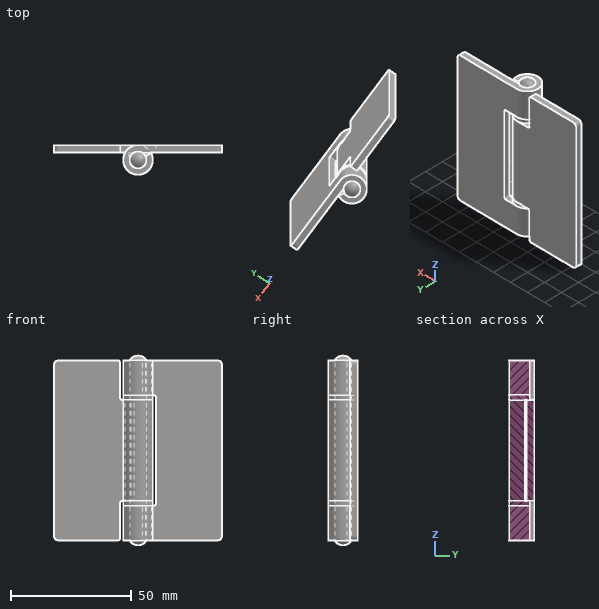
import cadquery as cq
import math

barrel_radius = 6.2
pin_radius = 3.5
dome_height = 2.0

hinge_width = 70.0
leaf_height = 75.0
leaf_thickness = 3.2
corner_radius = 2.0
notch_radius = 1.0
notch_clearance = 1.25
curl_gap_angle = 2.0

middle_knuckle_length = 42.0
washer_thickness = 2.0

half_width = hinge_width / 2
half_height = leaf_height / 2
leaf_outer_y = barrel_radius
leaf_inner_y = leaf_outer_y - leaf_thickness
notch_edge_x = barrel_radius + notch_clearance
middle_top_z = middle_knuckle_length / 2
washer_top_z = middle_top_z + washer_thickness


def on_circle(radius, degrees):
    """Point at a given angle on a circle around the pin axis."""
    angle = math.radians(degrees)
    return (radius * math.cos(angle), radius * math.sin(angle))


def rolled_strip():
    """Leaf blank: a flat plate on the +X side whose edge is rolled around the pin."""
    touching_angle = math.degrees(math.asin(leaf_inner_y / barrel_radius))
    free_end_angle = touching_angle - curl_gap_angle
    bore_meets_plate = (math.sqrt(pin_radius**2 - leaf_inner_y**2), leaf_inner_y)
    return (
        cq.Workplane("XY")
        .workplane(offset=-half_height)
        .moveTo(half_width, leaf_outer_y)
        .lineTo(0, leaf_outer_y)
        .threePointArc((0, -barrel_radius), on_circle(barrel_radius, free_end_angle))
        .lineTo(*on_circle(pin_radius, free_end_angle))
        .threePointArc((-pin_radius, 0), bore_meets_plate)
        .lineTo(half_width, leaf_inner_y)
        .close()
        .extrude(leaf_height)
        .edges("|Y and >X")
        .fillet(corner_radius)
    )


def barrel_window(z_bottom, z_top):
    """Cutter that clears the leaf around the barrel between two heights."""
    overshoot = 1.0
    left_x = -barrel_radius - overshoot
    front_y = -barrel_radius - overshoot
    back_y = leaf_outer_y + overshoot
    return cq.Workplane("XY").box(
        notch_edge_x - left_x, back_y - front_y, z_top - z_bottom, centered=False
    ).translate((left_x, front_y, z_bottom))


def make_two_knuckle_leaf():
    """Leaf on the +X side, with a knuckle at each end of the barrel."""
    window = barrel_window(-washer_top_z, washer_top_z).edges("|Y and >X").fillet(notch_radius)
    return rolled_strip().cut(window)


def make_one_knuckle_leaf():
    """Leaf on the -X side, with a single knuckle in the middle of the barrel."""
    leaf = rolled_strip()
    leaf = leaf.cut(barrel_window(middle_top_z, half_height))
    leaf = leaf.cut(barrel_window(-half_height, -middle_top_z))
    probe = notch_radius / 2
    notch_corners = cq.selectors.BoxSelector(
        (notch_edge_x - probe, leaf_inner_y - probe, -half_height - probe),
        (notch_edge_x + probe, leaf_outer_y + probe, half_height + probe),
    )
    leaf = leaf.edges("|Y").edges(notch_corners).fillet(notch_radius)
    return leaf.mirror("YZ")


def make_pin():
    """Pin filling the barrel bore, with a domed head beyond each end."""
    tip_z = half_height + dome_height
    dome_radius = (pin_radius**2 + dome_height**2) / (2 * dome_height)
    half_sweep = math.asin(pin_radius / dome_radius) / 2
    dome_mid_x = dome_radius * math.sin(half_sweep)
    dome_mid_z = tip_z - dome_radius * (1 - math.cos(half_sweep))
    return (
        cq.Workplane("XZ")
        .moveTo(0, -tip_z)
        .threePointArc((dome_mid_x, -dome_mid_z), (pin_radius, -half_height))
        .lineTo(pin_radius, half_height)
        .threePointArc((dome_mid_x, dome_mid_z), (0, tip_z))
        .close()
        .revolve(360, (0, 0), (0, 1))
    )


def make_washer(z_bottom):
    """Ring between the middle knuckle and an end knuckle."""
    return (
        cq.Workplane("XY")
        .workplane(offset=z_bottom)
        .circle(barrel_radius)
        .circle(pin_radius)
        .extrude(washer_thickness)
    )


two_knuckle_leaf = make_two_knuckle_leaf()
one_knuckle_leaf = make_one_knuckle_leaf()
pin = make_pin()
washers = [make_washer(z_bottom) for z_bottom in (middle_top_z, -washer_top_z)]

result = cq.Compound.makeCompound([
    two_knuckle_leaf.val(),
    one_knuckle_leaf.val(),
    pin.val(),
    *[washer.val() for washer in washers],
])